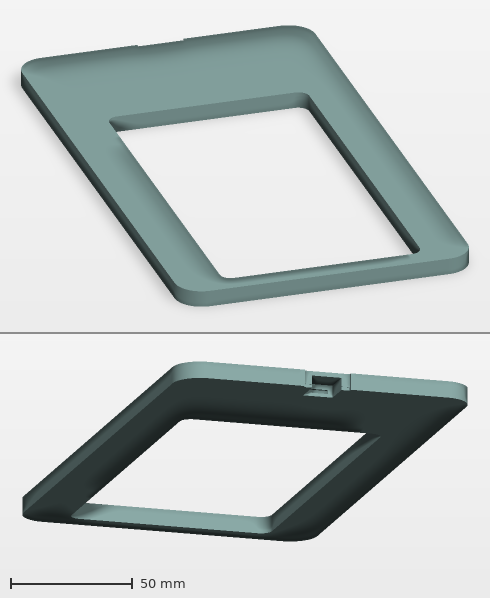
import cadquery as cq

length = 233.0
width = 126.0
thickness = 7.0
corner_radius = 11.6
left_edge = -length / 2

window_length = 161.5
window_width = 86.0
window_radius = 4.7
right_border = 8.9

notch_width = 19.8
notch_depth = 1.5

relief_height = 1.5
relief_depth = 0.2

slot_width = 12.5
slot_height = 5.1
slot_depth = 14.0

pocket_width = 8.5
pocket_height = 1.6
pocket_depth = 1.2


def edge_cut(cut_width, cut_height, depth, bottom=0.0):
    """Block reaching the given depth inward from the left edge, centred in Y."""
    return cq.Workplane("XY").box(
        depth, cut_width, cut_height, centered=(False, True, False)
    ).translate((left_edge, 0, bottom))


def rounded_block(block_length, block_width, radius):
    """Block of plate thickness with rounded vertical edges."""
    return (
        cq.Workplane("XY")
        .box(block_length, block_width, thickness, centered=(True, True, False))
        .edges("|Z")
        .fillet(radius)
    )


plate = rounded_block(length, width, corner_radius)

window_x = length / 2 - right_border - window_length / 2
window = rounded_block(window_length, window_width, window_radius).translate((window_x, 0, 0))

notch = edge_cut(notch_width, thickness, notch_depth)
relief = edge_cut(notch_width, relief_height, notch_depth + relief_depth)
slot = edge_cut(slot_width, slot_height, slot_depth)
pocket = edge_cut(pocket_width, pocket_height, slot_depth + pocket_depth, relief_height)

result = plate.cut(window).cut(notch).cut(relief).cut(slot).cut(pocket)